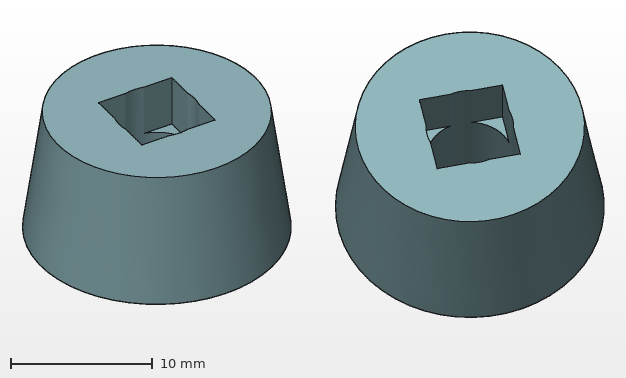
import cadquery as cq

base_diameter = 19.0
top_diameter = 16.19
height = 10.0
bore_diameter = 6.2
socket_side = 6.0
socket_depth = 4.0


def tapered_body():
    """Solid cone frustum standing on the XY plane."""
    return (
        cq.Workplane("XY")
        .circle(base_diameter / 2)
        .workplane(offset=height)
        .circle(top_diameter / 2)
        .loft(ruled=True)
    )


def through_bore():
    """Round bore through the full height, slightly wider than the socket."""
    return cq.Workplane("XY").circle(bore_diameter / 2).extrude(height)


def square_socket():
    """Square socket sunk from the top face, leaving a ledge in each corner."""
    return (
        cq.Workplane("XY")
        .workplane(offset=height - socket_depth)
        .rect(socket_side, socket_side)
        .extrude(socket_depth)
    )


result = tapered_body().cut(through_bore()).cut(square_socket())